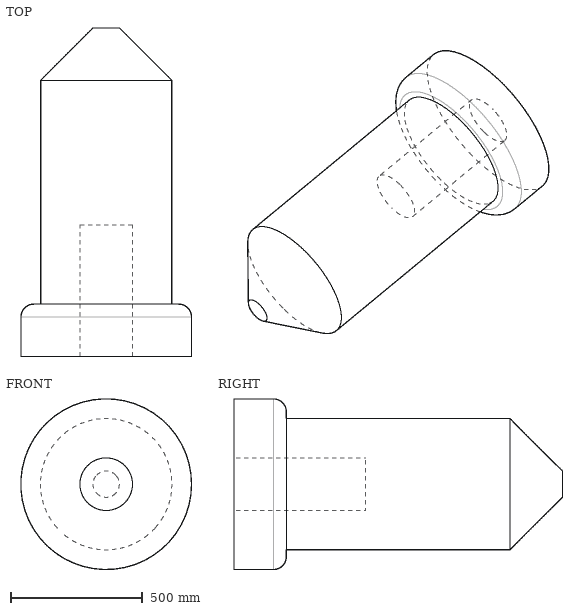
import cadquery as cq

total_length = 1250.0
collar_diameter = 650.0
collar_length = 200.0
collar_fillet = 50.0
shank_diameter = 500.0
nose_length = 200.0
tip_diameter = 100.0

hole_diameter = 200.0
hole_depth = 500.0

collar_radius = collar_diameter / 2
shank_radius = shank_diameter / 2
tip_radius = tip_diameter / 2
nose_start = total_length - nose_length

profile = (
    cq.Workplane("XY")
    .moveTo(0, 0)
    .lineTo(collar_radius, 0)
    .lineTo(collar_radius, collar_length - collar_fillet)
    .radiusArc((collar_radius - collar_fillet, collar_length), -collar_fillet)
    .lineTo(shank_radius, collar_length)
    .lineTo(shank_radius, nose_start)
    .lineTo(tip_radius, total_length)
    .lineTo(0, total_length)
    .close()
)
pin = profile.revolve(360, (0, 0, 0), (0, 1, 0))

hole = cq.Workplane("XZ").circle(hole_diameter / 2).extrude(-hole_depth)

result = pin.cut(hole)